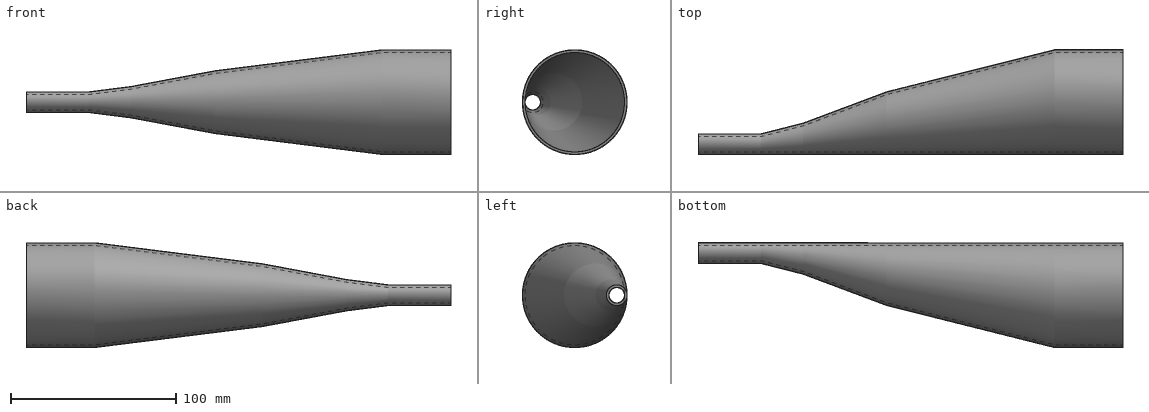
import cadquery as cq

length = 257.2
wall = 1.65

small_tube_diameter = 12.5
lower_joint_diameter = 19.0
upper_joint_diameter = 38.0
large_tube_diameter = 63.5

upper_cone_length = 101.5
middle_cone_length = upper_cone_length / 2
lower_cone_length = middle_cone_length / 2
large_tube_length = 41.5

large_tube_start = length - large_tube_length
upper_joint = large_tube_start - upper_cone_length
lower_joint = upper_joint - middle_cone_length
small_tube_end = lower_joint - lower_cone_length

stations = [
    (0.0, small_tube_diameter),
    (small_tube_end, small_tube_diameter),
    (lower_joint, lower_joint_diameter),
    (upper_joint, upper_joint_diameter),
    (large_tube_start, large_tube_diameter),
    (length, large_tube_diameter),
]


def cross_section(position, outside_diameter, inset):
    """Circle across X; the outside surface always touches the straight side at Y = 0."""
    outside_radius = outside_diameter / 2
    center = cq.Vector(position, outside_radius, 0)
    return cq.Wire.makeCircle(outside_radius - inset, center, cq.Vector(1, 0, 0))


def eccentric_body(inset):
    """Solid of tubes and slanted cones through all stations, its radii reduced by inset."""
    sections = [cross_section(position, diameter, inset) for position, diameter in stations]
    return cq.Workplane(cq.Solid.makeLoft(sections, ruled=True))


outer_body = eccentric_body(0.0)
bore = eccentric_body(wall)
result = outer_body.cut(bore)